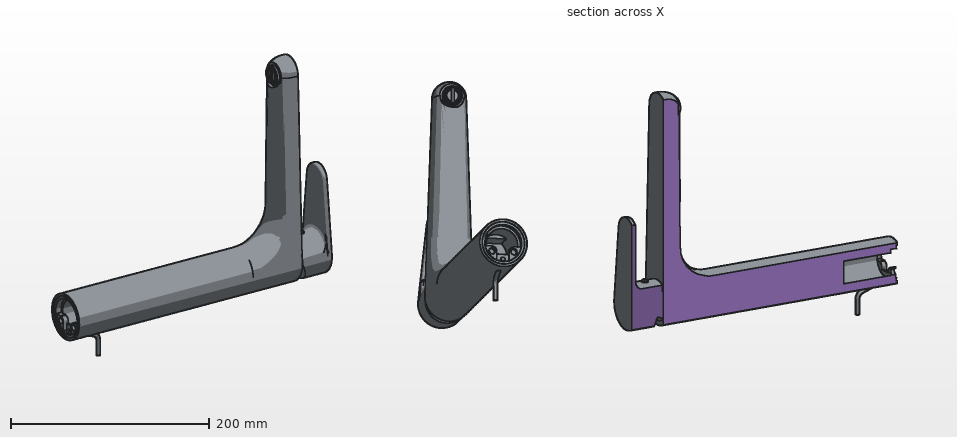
import cadquery as cq
import math


tube_diameter = 49.0
tube_radius = tube_diameter / 2
tube_length = 274.2

spout_tip_radius = 17.0
spout_tip_height = 204.0
spout_depth = 22.7
back_strip_depth = 4.5
front_edge_depth = 17.7
tip_front_half_width = 12.8
root_front_half_width = 15.5

blend_run = 37.5
blend_rise = 34.0
blend_sections = 9
blend_outer_reach = 93.5
blend_outer_half_width = 34.2
blend_y = -spout_depth - blend_run
blend_z = tube_radius + blend_rise
tube_front_half_width = 17.0

seat_radius = 12.5
aerator_radius = 10.0
aerator_length = 4.0
aerator_chamfer = 1.2
aerator_bore_radius = 7.8
aerator_bore_depth = 2.0
aerator_core_radius = 6.2
aerator_bar_width = 2.8
aerator_bar_rise = 1.2

rim_radius = 21.8
rim_depth = 1.0
mouth_radius = 19.0
insert_length = 7.8
insert_setback = 2.0
bore_radius = 16.2
bore_flat_height = 12.0
bore_depth = 62.2
bore_round_depth = 37.3
insert_top = -3.0
insert_hole_x = 11.2
insert_hole_z = -8.5
insert_hole_radius = 3.0
insert_hole_depth = 6.2
insert_lobe_radius = 4.7
slot_half_width = insert_hole_x - insert_lobe_radius
slot_block_top = -10.5
slot_block_setback = 5.5

rod_radius = 2.2
rod_y = -234.0
rod_bottom = -51.5
rod_corner_z = -29.3
rod_slope = math.radians(19)
rod_bend_radius = 7.8
rod_upper_run = 39.8
rod_end_chamfer = 0.5

hub_radius = 24.0
handle_back = 37.0
hub_front = 1.0
hub_cut_back = 11.5
lever_thickness = 5.3
lever_tip_radius = 15.2
lever_tip_height = 80.0
lever_edge_fillet = 2.5
lever_root_fillet = 7.0
button_radius = 3.5
button_y = 15.0
button_top = 26.0
button_chamfer = 1.5
neck_radius = 17.5
neck_length = 25.0


def plane_facing_front(y):
    """XZ plane at the given Y; extrusion goes toward -Y."""
    return cq.Workplane("XZ", origin=(0, y, 0))


def y_cylinder(radius, back, length, x=0, z=0):
    return plane_facing_front(back).center(x, z).circle(radius).extrude(length)


def box_between(x_min, x_max, y_min, y_max, z_min, z_max):
    size = (x_max - x_min, y_max - y_min, z_max - z_min)
    return cq.Workplane("XY").box(*size, centered=False).translate((x_min, y_min, z_min))


def tapered_outline(plane, root_radius, tip_radius, tip_height):
    """Belt outline: a root circle at Z = 0 and a tip circle above, joined by tangents."""
    sine = (root_radius - tip_radius) / tip_height
    cosine = math.sqrt(1 - sine**2)
    root = (root_radius * cosine, root_radius * sine)
    tip = (tip_radius * cosine, tip_height + tip_radius * sine)
    return (
        plane.moveTo(*root)
        .lineTo(*tip)
        .threePointArc((0, tip_height + tip_radius), (-tip[0], tip[1]))
        .lineTo(-root[0], root[1])
        .threePointArc((0, -root_radius), root)
        .close()
    )


def spout_half_width(z):
    sine = (tube_radius - spout_tip_radius) / spout_tip_height
    return (tube_radius - z * sine) / math.sqrt(1 - sine**2)


def side_arc_middle(outer, edge):
    """Middle of the arc that leaves the outer point straight forward and ends at the edge."""
    run = abs(outer[0] - edge[0])
    rise = edge[1] - outer[1]
    radius = (run**2 + rise**2) / (2 * run)
    half_sweep = math.asin(rise / radius) / 2
    return (
        outer[0] - radius * (1 - math.cos(half_sweep)),
        outer[1] + radius * math.sin(half_sweep),
    )


def section_wire(plane, back, outer, edge, front):
    """Symmetric section: flat back, flank to the outer point, rounded side, rounded front."""
    middle = side_arc_middle(outer, edge)

    def mirrored(point):
        return (-point[0], point[1])

    return (
        cq.Workplane(plane)
        .moveTo(*mirrored(back))
        .lineTo(*back)
        .lineTo(*outer)
        .threePointArc(middle, edge)
        .threePointArc((0, front), mirrored(edge))
        .threePointArc(mirrored(middle), mirrored(outer))
        .close()
        .wires()
        .val()
    )


def make_column():
    """Straight part of the spout, from the blend to the tip centre."""
    wires = []
    for z, front_half_width in ((blend_z, root_front_half_width), (spout_tip_height, tip_front_half_width)):
        half_width = spout_half_width(z)
        wires.append(
            section_wire(
                cq.Plane(origin=(0, 0, z), xDir=(1, 0, 0), normal=(0, 0, -1)),
                (half_width, 0),
                (half_width, back_strip_depth),
                (front_half_width, front_edge_depth),
                spout_depth,
            )
        )
    return cq.Workplane(cq.Solid.makeLoft(wires, True))


def make_blend():
    """Section that turns about the blend axis from the spout to the tube."""
    wires = []
    for index in range(blend_sections):
        angle = index / (blend_sections - 1) * math.pi / 2
        share = math.sin(angle) ** 2
        plane = cq.Plane(
            origin=(0, blend_y, blend_z),
            xDir=(1, 0, 0),
            normal=(0, -math.sin(angle), -math.cos(angle)),
        )

        def between(at_spout, at_tube):
            return at_spout + share * (at_tube - at_spout)

        outer_distance = between(-back_strip_depth - blend_y, blend_z)
        edge_rise = math.sqrt(tube_radius**2 - tube_front_half_width**2)
        edge_distance = between(-front_edge_depth - blend_y, blend_z - edge_rise)
        outer_z = blend_z - outer_distance * math.sin(angle)
        wires.append(
            section_wire(
                plane,
                (blend_outer_half_width, -blend_outer_reach),
                (spout_half_width(outer_z), -outer_distance),
                (between(root_front_half_width, tube_front_half_width), -edge_distance),
                -between(blend_run, blend_rise),
            )
        )
    sweep = cq.Workplane(cq.Solid.makeLoft(wires))
    outline = tapered_outline(plane_facing_front(0), tube_radius, spout_tip_radius, spout_tip_height)
    upper_half = box_between(-tube_radius, tube_radius, blend_y, 0, 0, blend_z)
    return sweep.intersect(outline.extrude(-blend_y)).intersect(upper_half)


def make_tip():
    """Domed spout end, turned about the aerator axis."""
    outer = (spout_tip_radius, back_strip_depth)
    edge = (tip_front_half_width, front_edge_depth)
    middle = side_arc_middle(outer, edge)
    return (
        cq.Workplane("XY", origin=(0, 0, spout_tip_height))
        .lineTo(spout_tip_radius, 0)
        .lineTo(outer[0], -outer[1])
        .threePointArc((middle[0], -middle[1]), (edge[0], -edge[1]))
        .lineTo(0, -edge[1])
        .close()
        .revolve(360, (0, 0, 0), (0, 1, 0))
    )


def make_aerator():
    front = -front_edge_depth - aerator_length
    bore_floor = front + aerator_bore_depth
    ring = y_cylinder(aerator_radius, -front_edge_depth, aerator_length, z=spout_tip_height)
    ring = ring.faces("<Y").chamfer(aerator_chamfer)
    ring = ring.cut(y_cylinder(aerator_bore_radius, bore_floor, aerator_bore_depth, z=spout_tip_height))
    core = y_cylinder(aerator_core_radius, bore_floor, aerator_bore_depth / 2, z=spout_tip_height)
    bar = box_between(
        -aerator_bar_width / 2,
        aerator_bar_width / 2,
        front - aerator_bar_rise,
        bore_floor,
        spout_tip_height - aerator_bore_radius,
        spout_tip_height + aerator_bore_radius,
    )
    return ring.union(core).union(bar)


def make_mouth():
    """Hollow in the front end of the tube, around the two-lobed insert."""
    front = -tube_length
    insert_back = front + insert_length
    insert_front = front + insert_setback
    bore_step = front + bore_round_depth
    rim = y_cylinder(rim_radius, front + rim_depth, rim_depth)
    mouth = y_cylinder(mouth_radius, insert_back, insert_length)

    lobes = box_between(-tube_radius, tube_radius, insert_front, insert_back, -tube_radius, insert_hole_z)
    for side in (-1, 1):
        lobe_x = side * insert_hole_x
        lobe = y_cylinder(insert_lobe_radius, insert_back, insert_back - insert_front, lobe_x, insert_hole_z)
        lobes = lobes.union(lobe)
        shoulder_ends = sorted((lobe_x, side * tube_radius))
        lobes = lobes.union(box_between(*shoulder_ends, insert_front, insert_back, insert_hole_z, insert_top))
    slot = box_between(-slot_half_width, slot_half_width, front, insert_back, -tube_radius, insert_hole_z)
    block = box_between(
        -slot_half_width,
        slot_half_width,
        front + slot_block_setback,
        insert_back,
        -tube_radius,
        slot_block_top,
    )
    mouth = mouth.cut(lobes.cut(slot).union(block))

    bore = y_cylinder(bore_radius, front + bore_depth, bore_depth - insert_length)
    above_flat = box_between(
        -bore_radius, bore_radius, bore_step, front + bore_depth, bore_flat_height, bore_radius
    )
    hollow = rim.union(mouth).union(bore.cut(above_flat))
    for side in (-1, 1):
        hole_x = side * insert_hole_x
        hole = y_cylinder(
            insert_hole_radius, front + insert_hole_depth, insert_hole_depth, hole_x, insert_hole_z
        )
        hollow = hollow.union(hole)
    return hollow


def make_rod():
    """Round rod that leaves the tube at a shallow slope and bends straight down."""
    turn = math.pi / 2 - rod_slope
    tangent_length = rod_bend_radius * math.tan(turn / 2)
    bend_start_z = rod_corner_z - tangent_length
    slope = (-math.cos(rod_slope), math.sin(rod_slope))
    bend_end = (rod_y + tangent_length * slope[0], rod_corner_z + tangent_length * slope[1])
    bend_middle = (
        rod_y - rod_bend_radius * (1 - math.cos(turn / 2)),
        bend_start_z + rod_bend_radius * math.sin(turn / 2),
    )
    path = (
        cq.Workplane("YZ")
        .moveTo(rod_y, rod_bottom)
        .lineTo(rod_y, bend_start_z)
        .threePointArc(bend_middle, bend_end)
        .lineTo(rod_y + rod_upper_run * slope[0], rod_corner_z + rod_upper_run * slope[1])
    )
    rod = cq.Workplane("XY", origin=(0, rod_y, rod_bottom)).circle(rod_radius).sweep(path)
    return rod.faces("<Z").chamfer(rod_end_chamfer)


def make_body():
    body = y_cylinder(tube_radius, 0, tube_length)
    body = body.union(make_blend()).union(make_column()).union(make_tip())
    seat = y_cylinder(seat_radius, -front_edge_depth, spout_depth - front_edge_depth, z=spout_tip_height)
    body = body.cut(seat).union(make_aerator())
    return body.cut(make_mouth()).union(make_rod())


def lever_outline():
    return tapered_outline(plane_facing_front(handle_back), hub_radius, lever_tip_radius, lever_tip_height)


def make_lever():
    return lever_outline().extrude(lever_thickness).faces("<Y").edges().fillet(lever_edge_fillet)


def make_root_fillet():
    """Concave ring between hub and lever, kept within the lever outline."""
    lever_front = handle_back - lever_thickness
    reach = hub_radius + lever_root_fillet
    bend = lever_root_fillet * (1 - math.sqrt(0.5))
    ring = (
        cq.Workplane("XY")
        .moveTo(0, lever_front)
        .lineTo(reach, lever_front)
        .threePointArc((hub_radius + bend, lever_front - bend), (hub_radius, lever_front - lever_root_fillet))
        .lineTo(0, lever_front - lever_root_fillet)
        .close()
        .revolve(360, (0, 0, 0), (0, 1, 0))
    )
    return ring.intersect(lever_outline().extrude(lever_thickness + lever_root_fillet))


def make_button():
    button = cq.Workplane("XY", origin=(0, button_y, 0)).circle(button_radius).extrude(button_top)
    return button.faces(">Z").chamfer(button_chamfer)


def make_neck():
    """Short cylinder square to the slanted hub face, ending flat on the faucet body."""
    slant = math.hypot(hub_cut_back - hub_front, hub_radius)
    normal = (0, -hub_radius / slant, -(hub_cut_back - hub_front) / slant)
    plane = cq.Plane(origin=(0, hub_front, 0), xDir=(1, 0, 0), normal=normal)
    neck = cq.Workplane(plane).circle(neck_radius).extrude(neck_length, both=True)
    return neck.intersect(y_cylinder(hub_radius, hub_cut_back, hub_cut_back))


def make_handle():
    hub = y_cylinder(hub_radius, handle_back, handle_back - hub_front)
    slanted_cut = (
        cq.Workplane("YZ")
        .moveTo(hub_front, 0)
        .lineTo(hub_cut_back, -hub_radius)
        .lineTo(hub_front, -hub_radius)
        .close()
        .extrude(hub_radius, both=True)
    )
    handle = hub.cut(slanted_cut).union(make_lever()).union(make_root_fillet())
    return handle.union(make_button()).union(make_neck())


body = make_body()
handle = make_handle()
result = cq.Compound.makeCompound([body.val(), handle.val()])